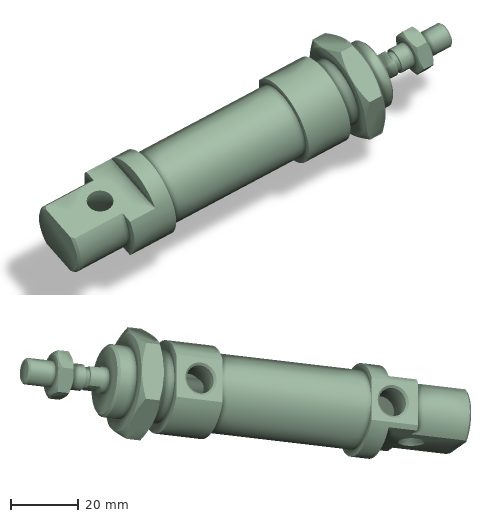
import cadquery as cq
import math

TIP_Y = 140.0

ROD_D = 8.0
ROD_TIP_CHAMFER = 0.5
GROOVE_D = 6.6
GROOVE_BACK_Y = 120.1
GROOVE_FRONT_Y = 121.7
WRENCH_FLAT_WIDTH = 6.0
WRENCH_FLAT_LENGTH = 3.6

NUT_CHAMFER_ANGLE = 30.0
HEX_CORNER_OFFSET = 30.0
ROD_NUT_FLATS = 13.0
ROD_NUT_FACE_D = 12.0
ROD_NUT_BACK_Y = 126.3
ROD_NUT_THICKNESS = 5.2
ROD_NUT_TURN = 30.0
MOUNT_NUT_FLATS = 30.0
MOUNT_NUT_FACE_D = 29.5
MOUNT_NUT_BACK_Y = 101.0
MOUNT_NUT_THICKNESS = 7.3
MOUNT_NUT_TURN = 1.4

NOSE_D = 22.0
NOSE_END_D = 20.5
NOSE_CHAMFER = (NOSE_D - NOSE_END_D) / 2
NOSE_FRONT_Y = 114.1
TUBE_D = 24.0
CAP_D = 28.1
CAP_LENGTH = 15.0
FRONT_CAP_BACK_Y = 81.0
FRONT_CAP_FRONT_Y = FRONT_CAP_BACK_Y + CAP_LENGTH
REAR_CAP_BACK_Y = 18.0
REAR_CAP_FRONT_Y = REAR_CAP_BACK_Y + CAP_LENGTH
PORT_FLAT_X = -12.5
TONGUE_THICKNESS = 16.0
TONGUE_LENGTH = 27.2
PIVOT_HOLE_D = 8.0
PIVOT_HOLE_Y = 15.1

PORT_D = 8.7
PORT_MOUTH_D = 10.1
PORT_CHAMFER = (PORT_MOUTH_D - PORT_D) / 2
PORT_CHAMFER_ANGLE = 45.0
PORT_FLOOR_X = -2.4
FRONT_PORT_Y = 88.0
REAR_PORT_Y = 26.0


def cylinder(diameter, start_y, end_y):
    """Cylinder on the Y axis from start_y to end_y."""
    plane = cq.Workplane("XZ", origin=(0, end_y, 0))
    return plane.circle(diameter / 2).extrude(end_y - start_y)


def side_blocks(thickness, start_y, end_y, size):
    """Two blocks that lie above and below a slab of the given thickness."""
    height = size / 2
    length = end_y - start_y
    blocks = cq.Workplane("XY")
    for side in (-1, 1):
        center = (0, (start_y + end_y) / 2, side * (thickness + height) / 2)
        blocks = blocks.add(cq.Workplane("XY").box(size, length, height).translate(center))
    return blocks.combine()


def make_rod():
    """Rod with a relief groove and two wrench flats that run out at 45 degrees."""
    rod = cylinder(ROD_D, FRONT_CAP_BACK_Y, TIP_Y).faces(">Y").chamfer(ROD_TIP_CHAMFER)
    groove = cylinder(ROD_D, GROOVE_BACK_Y, GROOVE_FRONT_Y)
    rod = rod.cut(groove.cut(cylinder(GROOVE_D, GROOVE_BACK_Y, GROOVE_FRONT_Y)))
    flat_end_y = GROOVE_BACK_Y - WRENCH_FLAT_LENGTH
    flat_depth = (ROD_D - WRENCH_FLAT_WIDTH) / 2
    for side in (-1, 1):
        flat = (
            cq.Workplane("YZ")
            .moveTo(GROOVE_BACK_Y, side * WRENCH_FLAT_WIDTH / 2)
            .lineTo(flat_end_y, side * WRENCH_FLAT_WIDTH / 2)
            .lineTo(flat_end_y - flat_depth, side * ROD_D / 2)
            .lineTo(GROOVE_BACK_Y, side * ROD_D / 2)
            .close()
            .extrude(ROD_D / 2, both=True)
        )
        rod = rod.cut(flat)
    return rod


def make_nut(flats, face_d, bore_d, back_y, thickness, turn):
    """Hexagon nut with conical corner chamfers; turn is measured from a corner pointing to +Z."""
    corner_d = flats / math.cos(math.pi / 6)
    front_y = back_y + thickness
    hexagon = (
        cq.Workplane("XZ", origin=(0, front_y, 0))
        .polygon(6, corner_d)
        .extrude(thickness)
        .rotate((0, 0, 0), (0, 1, 0), -HEX_CORNER_OFFSET - turn)
    )
    corner_drop = (corner_d - face_d) / 2
    chamfer = corner_drop * math.tan(math.radians(NUT_CHAMFER_ANGLE))
    envelope = (
        cq.Workplane("XY")
        .moveTo(0, back_y)
        .lineTo(face_d / 2, back_y)
        .lineTo(corner_d / 2, back_y + chamfer)
        .lineTo(corner_d / 2, front_y - chamfer)
        .lineTo(face_d / 2, front_y)
        .lineTo(0, front_y)
        .close()
        .revolve(360, (0, 0, 0), (0, 1, 0))
    )
    return hexagon.intersect(envelope).cut(cylinder(bore_d, back_y, front_y))


def make_cap(back_y, front_y):
    """Round cap with a flat on the -X side for its air port."""
    flat = cq.Workplane("XY").box(CAP_D, front_y - back_y, CAP_D)
    flat = flat.translate((PORT_FLAT_X - CAP_D / 2, (back_y + front_y) / 2, 0))
    return cylinder(CAP_D, back_y, front_y).cut(flat)


def make_port(port_y):
    """Blind port bore with a 45 degree mouth chamfer, entering from the -X side."""
    plane = cq.Workplane("YZ", origin=(PORT_FLAT_X, port_y, 0))
    bore = plane.circle(PORT_D / 2).extrude(PORT_FLOOR_X - PORT_FLAT_X)
    mouth = plane.circle(PORT_MOUTH_D / 2).extrude(PORT_CHAMFER, taper=PORT_CHAMFER_ANGLE)
    return bore.union(mouth)


def make_housing():
    """Caps, tube, nose and rear tongue as one solid, with the ports and the rod bore."""
    nose = cylinder(NOSE_D, FRONT_CAP_FRONT_Y, NOSE_FRONT_Y).faces(">Y").chamfer(NOSE_CHAMFER)
    tail = cylinder(NOSE_D, 0, REAR_CAP_BACK_Y).faces("<Y").chamfer(NOSE_CHAMFER)
    housing = (
        cylinder(TUBE_D, REAR_CAP_FRONT_Y, FRONT_CAP_BACK_Y)
        .union(make_cap(FRONT_CAP_BACK_Y, FRONT_CAP_FRONT_Y))
        .union(make_cap(REAR_CAP_BACK_Y, REAR_CAP_FRONT_Y))
        .union(nose)
        .union(tail)
    )
    housing = housing.cut(side_blocks(TONGUE_THICKNESS, 0, TONGUE_LENGTH, CAP_D))
    pivot_hole = (
        cq.Workplane("XY", origin=(0, PIVOT_HOLE_Y, 0))
        .circle(PIVOT_HOLE_D / 2)
        .extrude(TONGUE_THICKNESS / 2, both=True)
    )
    housing = housing.cut(pivot_hole)
    for port_y in (REAR_PORT_Y, FRONT_PORT_Y):
        housing = housing.cut(make_port(port_y))
    return housing.cut(cylinder(ROD_D, FRONT_CAP_BACK_Y, NOSE_FRONT_Y))


housing = make_housing()
rod = make_rod()
rod_nut = make_nut(
    ROD_NUT_FLATS, ROD_NUT_FACE_D, ROD_D, ROD_NUT_BACK_Y, ROD_NUT_THICKNESS, ROD_NUT_TURN
)
mount_nut = make_nut(
    MOUNT_NUT_FLATS, MOUNT_NUT_FACE_D, NOSE_D, MOUNT_NUT_BACK_Y, MOUNT_NUT_THICKNESS, MOUNT_NUT_TURN
)

result = cq.Compound.makeCompound([housing.val(), rod.val(), rod_nut.val(), mount_nut.val()])